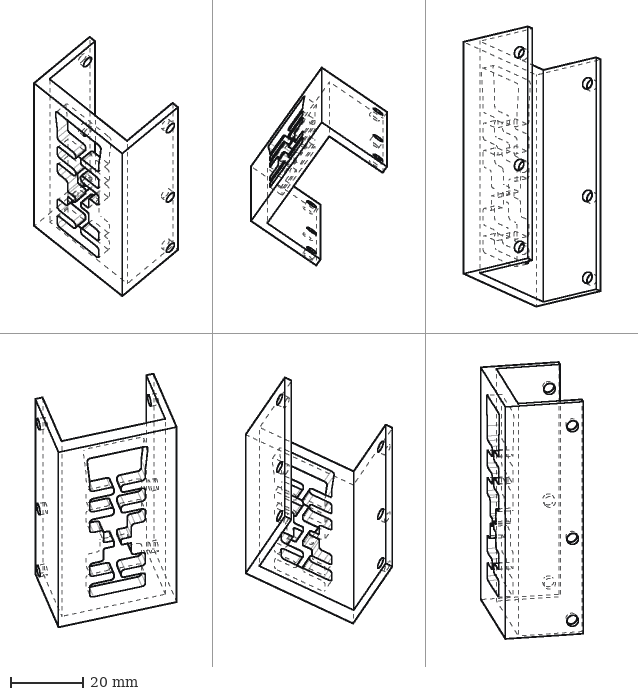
import cadquery as cq

height = 68.0
width = 34.2
depth = 22.0
plate_thickness = 4.0
wall_thickness = 2.1

slot_width = 2.05
chamber_width = 16.05
neck_width = 8.0
entry_top_width = 17.75
entry_top = 63.0
entry_taper_end = 54.0
entry_bottom = 50.0
upper_chambers = [(42.0, 47.05), (34.0, 39.0)]
lower_chambers = [(17.0, 22.0), (9.0, 14.0)]
upper_neck = (29.1, upper_chambers[-1][0])
lower_neck = (lower_chambers[0][1], 26.8)
corner_radius = 1.0
short_finger_radius = 0.5

hole_diameter = 3.2
hole_back_distance = 3.0
hole_levels = [4.0, 28.0, 61.0]

LEVEL_TOLERANCE = 0.01


def make_channel():
    """U-shaped channel, centred in X, front face at Y = 0 and bottom at Z = 0."""
    block = cq.Workplane("XY").box(width, depth, height, centered=(True, False, False))
    inside = (
        cq.Workplane("XY")
        .box(width - 2 * wall_thickness, depth - plate_thickness, height, centered=(True, False, False))
        .translate((0, plate_thickness, 0))
    )
    return block.cut(inside)


def make_opening(opening_width, bottom, top):
    """Rectangular cutter through the front plate between two levels."""
    return (
        cq.Workplane("XY", origin=(0, 0, bottom))
        .box(opening_width, plate_thickness, top - bottom, centered=(True, False, False))
    )


def make_entry():
    """Top opening: straight at its foot, then widening to its top edge."""
    return (
        cq.Workplane("XZ")
        .polyline([
            (-chamber_width / 2, entry_bottom),
            (chamber_width / 2, entry_bottom),
            (chamber_width / 2, entry_taper_end),
            (entry_top_width / 2, entry_top),
            (-entry_top_width / 2, entry_top),
            (-chamber_width / 2, entry_taper_end),
        ])
        .close()
        .extrude(-plate_thickness)
    )


def round_corners(body, levels, radius):
    """Fillet every edge along Y that lies at one of the given levels."""
    def is_at_level(edge):
        return any(abs(edge.Center().z - level) < LEVEL_TOLERANCE for level in levels)

    return body.edges("|Y").filter(is_at_level).fillet(radius)


def make_window():
    """Central slot joined to the entry, chambers and necks, with rounded corners."""
    chambers = upper_chambers + lower_chambers
    slot_bottom = lower_chambers[-1][0]
    window = make_entry().union(make_opening(slot_width, slot_bottom, entry_top))
    for bottom, top in chambers:
        window = window.union(make_opening(chamber_width, bottom, top))
    for bottom, top in (upper_neck, lower_neck):
        window = window.union(make_opening(neck_width, bottom, top))

    corner_levels = [level for chamber in chambers for level in chamber]
    corner_levels.extend([entry_bottom, entry_top])
    window = round_corners(window, corner_levels, corner_radius)
    return round_corners(window, [upper_neck[0], lower_neck[1]], short_finger_radius)


def make_mounting_holes():
    """Cross holes along X near the back edge of the side walls."""
    hole_y = depth - hole_back_distance
    return (
        cq.Workplane("YZ", origin=(-width / 2, 0, 0))
        .pushPoints([(hole_y, level) for level in hole_levels])
        .circle(hole_diameter / 2)
        .extrude(width)
    )


result = make_channel().cut(make_window()).cut(make_mounting_holes())